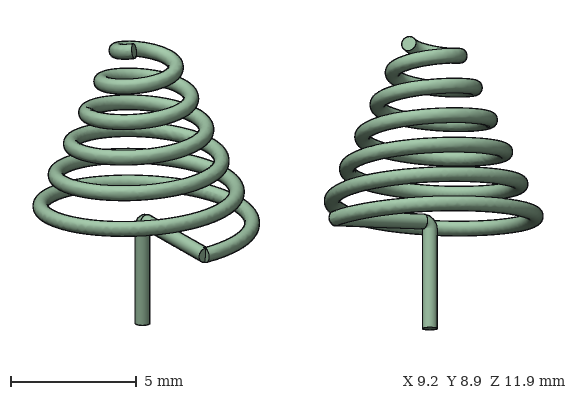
import cadquery as cq
import math

wire_diameter = 0.6
wire_radius = wire_diameter / 2

coil_start_radius = 4.45
coil_radius_step = 0.605
coil_pitch = 1.3
coil_height = 7.6
coil_turns = coil_height / coil_pitch
spline_points_per_turn = 24

pin_length = 4.0
bend_radius = wire_radius
arm_end_x = 4.48
arm_end_z = 0.0
arm_run = arm_end_x - bend_radius
arm_drop = bend_radius - arm_end_z
arm_length = math.hypot(arm_run, arm_drop)
trim_size = 6 * wire_diameter


def coil_point(turn):
    """Point on the coil centre line after the given number of turns."""
    radius = coil_start_radius - coil_radius_step * turn
    angle = 2 * math.pi * turn
    return cq.Vector(radius * math.cos(angle), radius * math.sin(angle), coil_pitch * turn)


def make_coil():
    segments = math.ceil(coil_turns * spline_points_per_turn)
    points = [coil_point(coil_turns * i / segments) for i in range(segments + 1)]
    path = cq.Workplane("XY").add(cq.Wire.assembleEdges([cq.Edge.makeSpline(points)]))
    return (
        cq.Workplane("XZ")
        .center(coil_start_radius, 0)
        .circle(wire_radius)
        .sweep(path, isFrenet=True)
    )


def make_lead():
    pin = cq.Workplane("XY").circle(wire_radius).extrude(-pin_length)
    bend = (
        cq.Workplane("XY")
        .circle(wire_radius)
        .revolve(90, (bend_radius, -1, 0), (bend_radius, 1, 0))
    )
    arm_plane = cq.Plane(
        origin=(bend_radius, 0, bend_radius),
        xDir=(0, 1, 0),
        normal=(arm_run, 0, -arm_drop),
    )
    arm = (
        cq.Workplane(arm_plane)
        .workplane(offset=-wire_radius)
        .circle(wire_radius)
        .extrude(wire_radius + arm_length)
    )
    trim = (
        cq.Workplane("YZ", origin=(bend_radius, 0, 0))
        .rect(trim_size, trim_size)
        .extrude(arm_end_x)
    )
    arm = arm.intersect(trim)
    return pin.union(bend).union(arm)


coil = make_coil()
lead = make_lead().cut(coil)
result = cq.Compound.makeCompound([coil.val(), *lead.vals()])